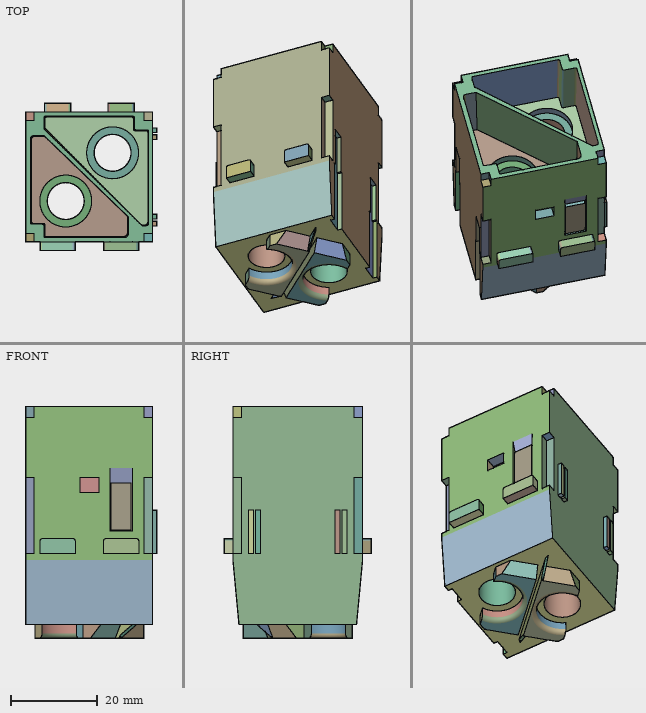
import cadquery as cq
import math

total_height = 53.5
body_x = 29.3
body_y = 29.95
base_height = 3.15
taper_start_z = 18.05
taper_inset = 1.4
half_x = body_x / 2
half_y = body_y / 2

shelf_z = 19.55
notch_side = 2.0
notch_top_z = 37.15
top_notch_depth = 2.5

peg_height = 3.5
peg_length = 2.05
peg_pitch = 14.65
peg_fillet = 0.55
overlap = 0.55
front_peg_width = 8.15
rear_peg_width = 6.15
peg_pair_x = -7.3

rail_height = 10.05
rail_thickness = 0.95
rail_width = 1.1
rail_inner_y = (8.6, 10.2)
groove_depth = 1.0
groove_centre_y = 9.95
groove_narrow = 3.1
groove_wide = 4.05

window_x, window_z = 0.05, 35.35
window_width, window_height, window_depth = 4.35, 3.5, 2.5
latch_x = 7.4
latch_width = 5.15
latch_bottom_z, latch_ledge_z, latch_top_z = 24.75, 35.9, 39.2
latch_depth = 1.0
tongue_gap = 0.24
tongue_recess = 0.2

chamber_depth = 15.0
chamber_draft = 0.2
floor_z = total_height - chamber_depth
wall_y = 0.95
upper_wall_x = 0.9
lower_wall_x = 1.1
pillar_x = 10.45
upper_pillar_y = 10.85
lower_pillar_y = 10.9
upper_front_y = -11.3
upper_tip_x = 12.25
upper_tip_y = 11.1
lower_right_x = 9.1
lower_rear_y = 9.5
lower_tip_y = -9.3
small_radius = 0.4
tip_radius = 0.7
lower_corner_radius = 1.05
bore_x, bore_y = 5.4, 5.55
bore_radius = 6.0
hole_radius = 4.2
top_counterbore_depth = 2.0
bore_rim_fillet = 1.0

base_x_min = -12.5
base_x_max = 12.6
base_half_y = 12.6
corner_cut = 14.0
split_half = 0.85
end_bottom = 12.9
end_top = 15.3
web_back = 1.5
web_bottom = 13.15
web_top = 20.35
web_bevel = 1.35


def block(x0, x1, y0, y1, z0, z1):
    return cq.Workplane("XY").box(x1 - x0, y1 - y0, z1 - z0, centered=False).translate((x0, y0, z0))


def make_body():
    foot = half_y - taper_inset
    profile = [
        (-foot, base_height), (foot, base_height), (half_y, taper_start_z),
        (half_y, total_height), (-half_y, total_height), (-half_y, taper_start_z),
    ]
    return cq.Workplane("YZ").polyline(profile).close().extrude(half_x, both=True)


def corner_notches():
    """Square notches in the four vertical edges, at the top and halfway down."""
    levels = [(shelf_z, notch_top_z), (total_height - top_notch_depth, total_height)]
    cuts = cq.Workplane("XY")
    for z0, z1 in levels:
        cuts = cuts.union(
            cq.Workplane("XY", origin=(0, 0, z0)).rect(body_x, body_y, forConstruction=True).vertices()
            .rect(2 * notch_side, 2 * notch_side).extrude(z1 - z0)
        )
    return cuts


def pegs(width, side):
    """Pair of pegs on the -Y (side = -1) or +Y (side = 1) wall, rounded along the upper edges."""
    y_in, y_out = sorted((side * (half_y - overlap), side * (half_y + peg_length)))
    pair = cq.Workplane("XY")
    for x in (peg_pair_x, peg_pair_x + peg_pitch):
        peg = block(x - width / 2, x + width / 2, y_in, y_out, shelf_z, shelf_z + peg_height)
        pair = pair.union(peg.faces(">Z").edges("|Y").fillet(peg_fillet))
    return pair


def rails():
    """Two pairs of guide rails on the +X wall."""
    group = cq.Workplane("XY")
    for side in (-1, 1):
        for inner in rail_inner_y:
            y0, y1 = sorted((side * inner, side * (inner + rail_width)))
            group = group.union(
                block(half_x - overlap, half_x + rail_thickness, y0, y1, shelf_z, shelf_z + rail_height)
            )
    return group


def guide_grooves():
    """Stepped grooves in the -X wall that take the rails of a neighbouring module."""
    cuts = cq.Workplane("XY")
    for side in (-1, 1):
        y = side * groove_centre_y
        for width, z0, z1 in (
            (groove_narrow, shelf_z, shelf_z + rail_height),
            (groove_wide, base_height, shelf_z),
        ):
            cuts = cuts.union(
                block(-half_x, groove_depth - half_x, y - width / 2, y + width / 2, z0, z1)
            )
    return cuts


def window():
    return block(
        window_x - window_width / 2, window_x + window_width / 2, -half_y, window_depth - half_y,
        window_z - window_height / 2, window_z + window_height / 2,
    )


def latch():
    """Latch slot with a sloping roof, less the tongue that stands inside it."""
    back_y = latch_depth - half_y
    profile = [
        (-half_y, latch_bottom_z), (back_y, latch_bottom_z),
        (back_y, latch_ledge_z), (-half_y, latch_top_z),
    ]
    slot = (
        cq.Workplane("YZ", origin=(latch_x, 0, 0)).polyline(profile).close()
        .extrude(latch_width / 2, both=True)
    )
    tongue_half = latch_width / 2 - tongue_gap
    tongue = block(
        latch_x - tongue_half, latch_x + tongue_half, tongue_recess - half_y, back_y,
        latch_bottom_z + tongue_gap, latch_ledge_z,
    )
    return slot.cut(tongue)


def upper_chamber(inset):
    """Outline of the +X +Y chamber as (x, y, corner radius)."""
    left = -pillar_x + inset
    right = half_x - upper_wall_x - inset
    front = upper_front_y + inset
    rear = half_y - wall_y - inset
    notch_x = pillar_x - inset
    notch_y = upper_pillar_y - inset
    return [
        (left, rear, small_radius), (notch_x, rear, small_radius),
        (notch_x, notch_y, small_radius), (right, notch_y, small_radius),
        (right, front, tip_radius), (upper_tip_x - inset, front, small_radius),
        (left, upper_tip_y + inset, 0),
    ]


def lower_chamber(inset):
    """Outline of the -X -Y chamber as (x, y, corner radius)."""
    left = -half_x + lower_wall_x + inset
    right = lower_right_x - inset
    front = -half_y + wall_y + inset
    rear = lower_rear_y - inset
    notch_x = -pillar_x + inset
    notch_y = -lower_pillar_y + inset
    return [
        (left, rear, tip_radius), (notch_x, rear, 0),
        (right, lower_tip_y + inset, 0), (right, front, lower_corner_radius),
        (notch_x, front, small_radius), (notch_x, notch_y, small_radius),
        (left, notch_y, small_radius),
    ]


def chamber(outline):
    """Drafted pocket, open at the top, with rounded upright edges."""
    floor = outline(chamber_draft)
    rim = outline(0)
    solid = (
        cq.Workplane("XY", origin=(0, 0, floor_z)).polyline([p[:2] for p in floor]).close()
        .workplane(offset=chamber_depth).polyline([p[:2] for p in rim]).close()
        .loft(ruled=True)
    )
    mid_z = floor_z + chamber_depth / 2
    for x, y, radius in outline(chamber_draft / 2):
        if radius:
            solid = solid.edges(cq.NearestToPointSelector((x, y, mid_z))).fillet(radius)
    return solid


def contact_bore(side):
    """Through hole, counterbored in the chamber floor and bored from below with a rounded rim."""
    bend = bore_rim_fillet * (1 - math.sqrt(0.5))
    shoulder_z = floor_z - top_counterbore_depth
    profile = (
        cq.Workplane("XZ").moveTo(0, 0).lineTo(bore_radius + bore_rim_fillet, 0)
        .threePointArc((bore_radius + bend, bend), (bore_radius, bore_rim_fillet))
        .lineTo(bore_radius, base_height).lineTo(hole_radius, base_height)
        .lineTo(hole_radius, shoulder_z).lineTo(bore_radius, shoulder_z)
        .lineTo(bore_radius, floor_z).lineTo(0, floor_z).close()
    )
    return profile.revolve(360, (0, 0), (0, 1)).translate((side * bore_x, side * bore_y, 0))


def diagonal_plane(x_plus_y):
    """Workplane facing (1, 1, 0); its local x runs along (-1, 1, 0), its local y along Z."""
    offset = x_plus_y / 2
    return cq.Workplane(cq.Plane(origin=(offset, offset, 0), xDir=(-1, 1, 0), normal=(1, 1, 0)))


def trapezoid(plane, bottom, top):
    """Trapezoid as high as the base; bottom and top are |x - y| limits."""
    b = bottom / math.sqrt(2)
    t = top / math.sqrt(2)
    return plane.polyline([(-b, 0), (b, 0), (t, base_height), (-t, base_height)]).close()


def base():
    """Two halves split along the partition, plus the thin web beside the split."""
    half_length = (corner_cut - split_half) / math.sqrt(2)
    square = block(base_x_min, base_x_max, -base_half_y, base_half_y, 0, base_height)
    near = trapezoid(diagonal_plane(-corner_cut), end_bottom, end_top).extrude(half_length)
    far = trapezoid(diagonal_plane(split_half), end_bottom, end_top).extrude(half_length)
    web_front = trapezoid(
        diagonal_plane(split_half), web_bottom - web_bevel, web_top - web_bevel
    ).wires().val()
    web_rear = trapezoid(diagonal_plane(web_back), web_bottom, web_top).wires().val()
    web = cq.Workplane(cq.Solid.makeLoft([web_front, web_rear], True))
    return near.union(far).intersect(square).union(web)


result = make_body().cut(corner_notches())
result = result.union(base())
result = result.union(pegs(front_peg_width, -1)).union(pegs(rear_peg_width, 1)).union(rails())
result = result.cut(guide_grooves()).cut(window()).cut(latch())
result = result.cut(chamber(upper_chamber)).cut(chamber(lower_chamber))
result = result.cut(contact_bore(1)).cut(contact_bore(-1))